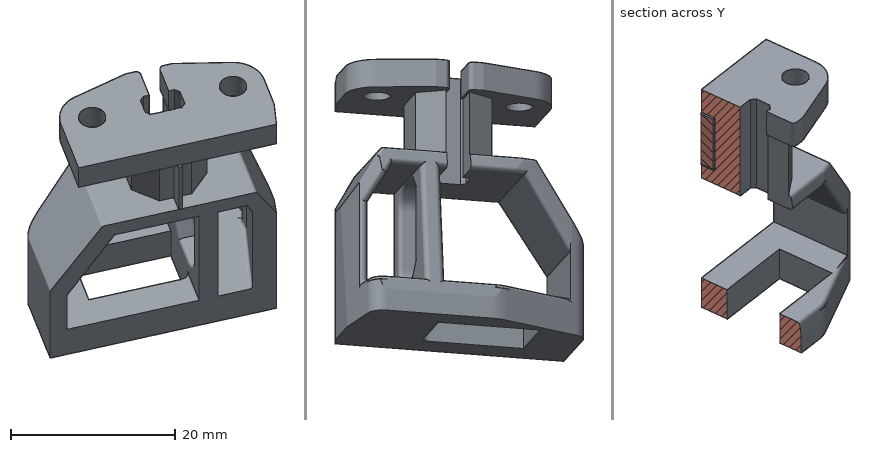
import cadquery as cq
FRONT = -15.35
NEAR_SIDE = -16.57
NEAR_CORNER_X = -10.5
FLAT_NEAR_Y = -4.45
FAR_CORNER_Y = 11.4
FAR_SIDE = 12.95
FAR_PEAK_X = -5.45
FAR_BEVEL_X = -3.35
FAR_BEVEL_Y = 12.25
OBTUSE_RADIUS = 4.95
CORNER_RADIUS = 2.0

ROOF_TOP = 21.65
ROOF_NEAR_Y = -9.9
ROOF_FAR_Y = 9.7
NEAR_SHOULDER_Z = 12.0
FAR_SHOULDER_Z = 15.88
FAR_SIDE_BOTTOM = 12.65

LEAN_START_Z = 2.7
LEAN_TOP_X = -12.65
EDGE_ROUND = 0.5
NEAR_POST_Y = -14.65
NEAR_SETBACK = (-12.65, -8.4)
FAR_SETBACK = (-12.7, 10.2)
FAR_POST = (-10.95, 12.2)

FLOOR_TOP = 4.5
OPENING_TOP = 19.6
OPENING_NEAR = -14.45
OPENING_NEAR_Z = 10.6
OPENING_TOP_NEAR_Y = -8.37
OPENING_TOP_FAR_Y = 8.45
OPENING_FAR_Z = 14.7
FAR_WALL_PEAK = (-9.65, 11.28)
FAR_WALL_SLOPE = 0.15
FAR_WALL_BACK_Y = 9.2

SLOPE_FRONT_BACK_X = -10.9
SLOPE_FRONT_BOTTOM = 13.9
SHOULDER_FRONT_X = -11.58
SHOULDER_FAR_Y = -15.22
SHOULDER_TOP = 13.55
MOUTH_BACK_X = -11.75
MOUTH_BOTTOM = 5.5
TOUCHING = 0.003

WEB_NEAR = 2.38
WEB_FAR = 4.8
WEB_ROUND = 0.65
WEB_WINDOW_FRONT = -10.1
WEB_WINDOW_BACK = -2.4
WEB_WINDOW_BOTTOM = 6.78
WEB_WINDOW_TOP = 19.2
WEB_WINDOW_CHAMFER = 1.65
WEB_WINDOW_RADIUS = 2.48

FLOOR_WINDOW_FRONT = -12.0
FLOOR_WINDOW_BACK = -3.97
FLOOR_WINDOW_NEAR = -10.45
FLOOR_WINDOW_RADIUS = 1.0

NECK_FRONT = -12.25
NECK_FRONT_SHOULDER = -10.25
NECK_BACK_SHOULDER = -4.8
NECK_BACK = -2.05
NECK_HALF = 4.8
NECK_BACK_HALF = 2.05
NECK_SLOT_HALF = 1.5

PLATE_BOTTOM = 29.57
PLATE_TOP = 33.08
PLATE_FRONT = -13.3
PLATE_FRONT_HALF = 2.98
PLATE_CORNER_X = -10.6
PLATE_RADIUS = 3.97
PLATE_SLOT_HALF = 1.22
SLOT_MOUTH_RADIUS = 0.6
HOLE_X = -7.55
HOLE_Y = 8.95
HOLE_DIAMETER = 3.3

TEE_FRONT = -9.05
TEE_BACK = -6.0
TEE_HALF = 2.5
TEE_CHAMFER = 0.53

TAB_FRONT = -1.82
TAB_BACK = 0.13
TAB_WIDTH = 0.5
TAB_BOTTOM = 21.7
TAB_TOP = 29.35

REACH = 39.7


def prism_z(points, bottom, top):
    return cq.Workplane("XY").workplane(offset=bottom).polyline(points).close().extrude(top - bottom)


def prism_x(points):
    """Prism from the back plane forward, from (Y, Z) points."""
    return cq.Workplane("YZ").polyline(points).close().extrude(-REACH)


def prism_y(points, near, far):
    """Prism between two Y positions, from (X, Z) points."""
    return cq.Workplane("XZ", origin=(0, near, 0)).polyline(points).close().extrude(near - far)


def box(x_range, y_range, z_range):
    size = [high - low for low, high in (x_range, y_range, z_range)]
    return cq.Workplane("XY").box(*size, centered=False).translate((x_range[0], y_range[0], z_range[0]))


def around(x, y, margin=0.33):
    """Selects upright edges close to a plan position."""
    return cq.selectors.BoxSelector((x - margin, y - margin, -REACH), (x + margin, y + margin, REACH))


def middles_in(x_range, y_range, z_range):
    """Selects edges whose middle lies inside the given ranges."""
    lows, highs = zip(x_range, y_range, z_range)
    return cq.selectors.BoxSelector(lows, highs)


def lean_x(z):
    """X of the leaning front face at a height."""
    return FRONT + (LEAN_TOP_X - FRONT) * (z - LEAN_START_Z) / (ROOF_TOP - LEAN_START_Z)


def lean_block(near, far, top):
    return prism_y(
        [(0, 0), (FRONT, 0), (FRONT, LEAN_START_Z), (lean_x(top), top), (0, top)], near, far
    )


def base_plan(front, top):
    """Base outline with a chosen front position, extruded from the bottom."""
    slant_slope = (FLAT_NEAR_Y - NEAR_SIDE) / (FRONT - NEAR_CORNER_X)
    near_y = NEAR_SIDE + slant_slope * (front - NEAR_CORNER_X)
    far_slope = (FAR_SIDE - FAR_CORNER_Y) / (FAR_PEAK_X - FRONT)
    far_y = FAR_CORNER_Y + far_slope * (front - FRONT)
    plan = prism_z(
        [
            (0, NEAR_SIDE),
            (NEAR_CORNER_X, NEAR_SIDE),
            (front, near_y),
            (front, far_y),
            (FAR_PEAK_X, FAR_SIDE),
            (FAR_BEVEL_X, FAR_SIDE),
            (0, FAR_BEVEL_Y),
        ],
        0,
        top,
    )
    plan = plan.edges(around(front, near_y)).fillet(OBTUSE_RADIUS)
    plan = plan.edges(around(NEAR_CORNER_X, NEAR_SIDE)).fillet(CORNER_RADIUS)
    return plan.edges(around(front, far_y)).fillet(CORNER_RADIUS)


def make_envelope():
    """Outer shape of the base: the plan outline, the side outline and the leaning front together."""
    side = prism_x(
        [
            (NEAR_SIDE, 0),
            (FAR_SIDE_BOTTOM, 0),
            (FAR_SIDE, FAR_SHOULDER_Z),
            (ROOF_FAR_Y, ROOF_TOP),
            (ROOF_NEAR_Y, ROOF_TOP),
            (NEAR_SIDE, NEAR_SHOULDER_Z),
        ]
    )
    return base_plan(FRONT, ROOF_TOP).intersect(side).intersect(lean_block(-REACH, REACH, ROOF_TOP))


def make_floor(envelope):
    """Floor slab with a rounded top edge along its front lip."""
    round_start = FLOOR_TOP - EDGE_ROUND
    lip = base_plan(lean_x(round_start), FLOOR_TOP).faces(">Z").edges("not >X").fillet(EDGE_ROUND)
    below = box((-REACH, 0), (-REACH, REACH), (0, round_start))
    above = box((-REACH, 0), (-REACH, REACH), (round_start, FLOOR_TOP))
    return envelope.intersect(below).union(envelope.intersect(lip).intersect(above))


def setback(post, shoulder, side_y):
    """Cutter for the material in front of an upright plane through two plan points."""
    front = FRONT - 0.33
    share = (front - post[0]) / (shoulder[0] - post[0])
    front_y = post[1] + share * (shoulder[1] - post[1])
    return prism_z([post, (front, front_y), (front, side_y), (post[0], side_y)], 0, ROOF_TOP)


def make_opening():
    """Space inside the frame, with a concave round where the far wall meets the floor."""
    profile = prism_x(
        [
            (OPENING_NEAR, FLOOR_TOP),
            (FAR_WALL_PEAK[1], FLOOR_TOP),
            (FAR_WALL_PEAK[1], OPENING_FAR_Z),
            (OPENING_TOP_FAR_Y, OPENING_TOP),
            (OPENING_TOP_NEAR_Y, OPENING_TOP),
            (OPENING_NEAR, OPENING_NEAR_Z),
        ]
    )
    wall_front_y = FAR_WALL_PEAK[1] + FAR_WALL_SLOPE * (FRONT - FAR_WALL_PEAK[0])
    plan = prism_z(
        [(0, OPENING_NEAR), (FRONT, OPENING_NEAR), (FRONT, wall_front_y), FAR_WALL_PEAK, (0, FAR_WALL_BACK_Y)],
        0,
        ROOF_TOP,
    )
    foot = middles_in((-REACH, 0.33), (FAR_WALL_BACK_Y, REACH), (FLOOR_TOP - 0.33, FLOOR_TOP + 0.33))
    return profile.intersect(plan).edges(foot).edges("not |Y").fillet(EDGE_ROUND)


def make_frame(envelope):
    """Walls and roof around the opening, set back behind the floor lip."""
    near_x = NEAR_CORNER_X + (NEAR_POST_Y - NEAR_SIDE) * (FRONT - NEAR_CORNER_X) / (FLAT_NEAR_Y - NEAR_SIDE)
    frame = envelope.cut(setback((near_x, NEAR_POST_Y), NEAR_SETBACK, NEAR_POST_Y))
    frame = frame.cut(setback(FAR_POST, FAR_SETBACK, FAR_SIDE))

    roof_rim = middles_in((FRONT, -0.33), (NEAR_SIDE, FAR_SIDE), (ROOF_TOP - 0.33, ROOF_TOP + 0.33))
    slope_fronts = middles_in(
        (FRONT, SLOPE_FRONT_BACK_X), (NEAR_SIDE, FAR_SIDE), (SLOPE_FRONT_BOTTOM, ROOF_TOP)
    )
    near_shoulder = middles_in(
        (SHOULDER_FRONT_X, -0.33), (NEAR_SIDE - 0.33, SHOULDER_FAR_Y), (NEAR_SHOULDER_Z - 0.33, SHOULDER_TOP)
    )
    frame = frame.edges(roof_rim + slope_fronts + near_shoulder).fillet(EDGE_ROUND)

    opening = make_opening()
    frame = frame.cut(opening)
    front_edges = middles_in((FRONT, MOUTH_BACK_X), (NEAR_SIDE, FAR_SIDE), (MOUTH_BOTTOM, ROOF_TOP))
    mouth = [
        edge
        for edge in frame.edges(front_edges).vals()
        if cq.Vertex.makeVertex(*edge.positionAt(0.5).toTuple()).distance(opening.val()) < TOUCHING
    ]
    floor_space = box((FRONT, FLOOR_WINDOW_FRONT), (NEAR_SIDE, FAR_SETBACK[1]), (0, FLOOR_TOP))
    return frame.newObject(mouth).fillet(EDGE_ROUND).cut(floor_space)


def make_web():
    """Upright web with rounded leaning edges and a window with rounded rims."""
    web = lean_block(WEB_NEAR, WEB_FAR, ROOF_TOP - EDGE_ROUND)
    lean_edges = middles_in((FRONT, LEAN_TOP_X), (WEB_NEAR - 0.33, WEB_FAR + 0.33), (LEAN_START_Z + 0.33, ROOF_TOP - 0.65))
    web = web.edges(lean_edges).fillet(WEB_ROUND)
    window = prism_y(
        [
            (WEB_WINDOW_FRONT, WEB_WINDOW_BOTTOM + WEB_WINDOW_CHAMFER),
            (WEB_WINDOW_FRONT + WEB_WINDOW_CHAMFER, WEB_WINDOW_BOTTOM),
            (WEB_WINDOW_BACK, WEB_WINDOW_BOTTOM),
            (WEB_WINDOW_BACK, WEB_WINDOW_TOP),
            (WEB_WINDOW_FRONT + WEB_WINDOW_CHAMFER, WEB_WINDOW_TOP),
            (WEB_WINDOW_FRONT, WEB_WINDOW_TOP - WEB_WINDOW_CHAMFER),
        ],
        WEB_NEAR,
        WEB_FAR,
    )
    window = window.edges("|Y and >X").fillet(WEB_WINDOW_RADIUS)
    web = web.cut(window)
    rims = middles_in(
        (WEB_WINDOW_FRONT - 0.33, WEB_WINDOW_BACK + 0.33),
        (WEB_NEAR - 0.33, WEB_FAR + 0.33),
        (WEB_WINDOW_BOTTOM - 0.33, WEB_WINDOW_TOP + 0.33),
    )
    return web.edges(rims).edges("#Y").fillet(EDGE_ROUND)


def cut_floor_window(base):
    window = box((FLOOR_WINDOW_FRONT, FLOOR_WINDOW_BACK), (FLOOR_WINDOW_NEAR, WEB_NEAR), (0, FLOOR_TOP))
    window = window.edges("|Z and >X and >Y").fillet(FLOOR_WINDOW_RADIUS)
    return base.cut(window)


def make_neck():
    half = [
        (NECK_FRONT, NECK_SLOT_HALF),
        (NECK_FRONT_SHOULDER, NECK_HALF),
        (NECK_BACK_SHOULDER, NECK_HALF),
        (NECK_BACK, NECK_BACK_HALF),
    ]
    return prism_z(half + [(x, -y) for x, y in reversed(half)], ROOF_TOP, PLATE_BOTTOM)


def make_plate():
    """Top plate with rounded front corners, a slot from the front and two screw holes."""
    half = [
        (PLATE_FRONT, PLATE_FRONT_HALF),
        (PLATE_CORNER_X, FAR_SIDE),
    ]
    far_back = [(FAR_BEVEL_X, FAR_SIDE), (0, FAR_BEVEL_Y), (0, -FAR_SIDE)]
    plate = prism_z(half + far_back + [(x, -y) for x, y in reversed(half)], PLATE_BOTTOM, PLATE_TOP)
    for side in (-1, 1):
        plate = plate.edges(around(PLATE_CORNER_X, side * FAR_SIDE)).fillet(PLATE_RADIUS)
    slot = box((PLATE_FRONT, TEE_BACK), (-PLATE_SLOT_HALF, PLATE_SLOT_HALF), (PLATE_BOTTOM, PLATE_TOP))
    plate = plate.cut(slot)
    for side in (-1, 1):
        plate = plate.edges(around(PLATE_FRONT, side * PLATE_SLOT_HALF)).fillet(SLOT_MOUTH_RADIUS)
    holes = (
        cq.Workplane("XY", origin=(0, 0, PLATE_BOTTOM))
        .pushPoints([(HOLE_X, HOLE_Y), (HOLE_X, -HOLE_Y)])
        .circle(HOLE_DIAMETER / 2)
        .extrude(PLATE_TOP - PLATE_BOTTOM)
    )
    return plate.cut(holes)


def make_slot():
    """Slot down through neck and roof, with the wider inner end that also passes through the plate."""
    slot = box((-REACH, TEE_BACK), (-NECK_SLOT_HALF, NECK_SLOT_HALF), (OPENING_TOP, PLATE_BOTTOM))
    tee = box((TEE_FRONT, TEE_BACK), (-TEE_HALF, TEE_HALF), (OPENING_TOP, PLATE_TOP))
    return slot.union(tee.edges("|Z").chamfer(TEE_CHAMFER))


def make_housing():
    envelope = make_envelope()
    base = make_floor(envelope).union(make_frame(envelope)).union(make_web())
    base = cut_floor_window(base)
    return base.union(make_neck()).union(make_plate()).cut(make_slot())


def make_tab():
    half = TAB_WIDTH / 2
    return box((TAB_FRONT, TAB_BACK), (-half, half), (TAB_BOTTOM, TAB_TOP))


housing = make_housing()
tab = make_tab()

result = cq.Compound.makeCompound([housing.val(), tab.val()])